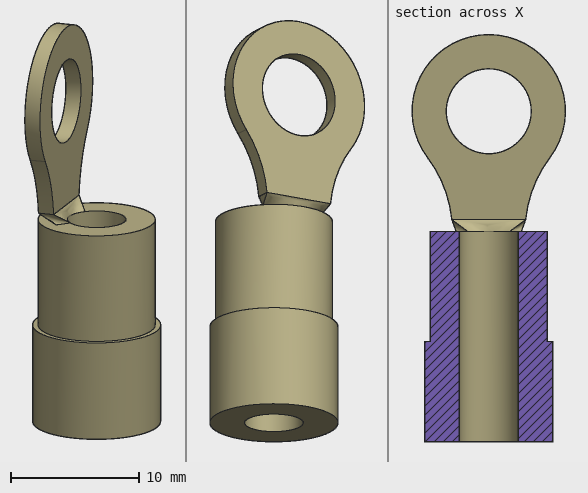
import cadquery as cq
import math

sleeve_diameter = 10.0
sleeve_radius = sleeve_diameter / 2
sleeve_height = 7.85
barrel_radius = 4.58
barrel_top = 16.45
bore_radius = 2.3

total_height = 31.8
tongue_outer_x = -3.78
tongue_thickness = 1.27
tongue_inner_x = tongue_outer_x + tongue_thickness
tongue_bottom = 17.35
tongue_foot_half_width = 2.9
ring_diameter = 12.0
ring_radius = ring_diameter / 2
ring_hole_radius = 3.3
ring_center_z = total_height - ring_radius
flank_start_angle = math.radians(37)

foot_outer_radius = 3.53
foot_half_angle = math.radians(46.5)


def make_barrel():
    sleeve = cq.Workplane("XY").circle(sleeve_radius).extrude(sleeve_height)
    barrel = cq.Workplane("XY").circle(barrel_radius).extrude(barrel_top)
    bore = cq.Workplane("XY").circle(bore_radius).extrude(barrel_top)
    return sleeve.union(barrel).cut(bore)


def make_tongue():
    """Ring whose flanks sweep down in concave arcs tangent to the ring."""
    flank_y = ring_radius * math.cos(flank_start_angle)
    flank_z = ring_center_z - ring_radius * math.sin(flank_start_angle)
    half_plate = (
        cq.Workplane("YZ", origin=(tongue_outer_x, 0, 0))
        .moveTo(0, total_height)
        .threePointArc((ring_radius, ring_center_z), (flank_y, flank_z))
        .tangentArcPoint((tongue_foot_half_width, tongue_bottom), relative=False)
        .lineTo(0, tongue_bottom)
        .close()
        .extrude(tongue_thickness)
    )
    plate = half_plate.union(half_plate.mirror("XZ")).clean()
    hole = (
        cq.Workplane("YZ", origin=(tongue_outer_x, 0, 0))
        .center(0, ring_center_z)
        .circle(ring_hole_radius)
        .extrude(tongue_thickness)
    )
    return plate.cut(hole)


def foot_point(radius, angle):
    """Point on the barrel top, with the angle measured from -X."""
    return cq.Vector(-radius * math.cos(angle), radius * math.sin(angle), barrel_top)


def make_foot():
    """Loft from a ring sector on the barrel top to the rectangular end of the tongue."""
    a = foot_half_angle
    outer_start, outer_mid, outer_end = (foot_point(foot_outer_radius, t) for t in (-a, 0, a))
    inner_start, inner_mid, inner_end = (foot_point(bore_radius, t) for t in (-a, 0, a))
    sector = cq.Wire.assembleEdges([
        cq.Edge.makeThreePointArc(outer_start, outer_mid, outer_end),
        cq.Edge.makeLine(outer_end, inner_end),
        cq.Edge.makeThreePointArc(inner_end, inner_mid, inner_start),
        cq.Edge.makeLine(inner_start, outer_start),
    ])
    w = tongue_foot_half_width
    corners = [(tongue_outer_x, -w), (tongue_outer_x, w), (tongue_inner_x, w), (tongue_inner_x, -w)]
    rectangle = cq.Wire.makePolygon([cq.Vector(x, y, tongue_bottom) for x, y in corners], close=True)
    return cq.Workplane(cq.Solid.makeLoft([sector, rectangle], True))


result = make_barrel().union(make_foot()).union(make_tongue())